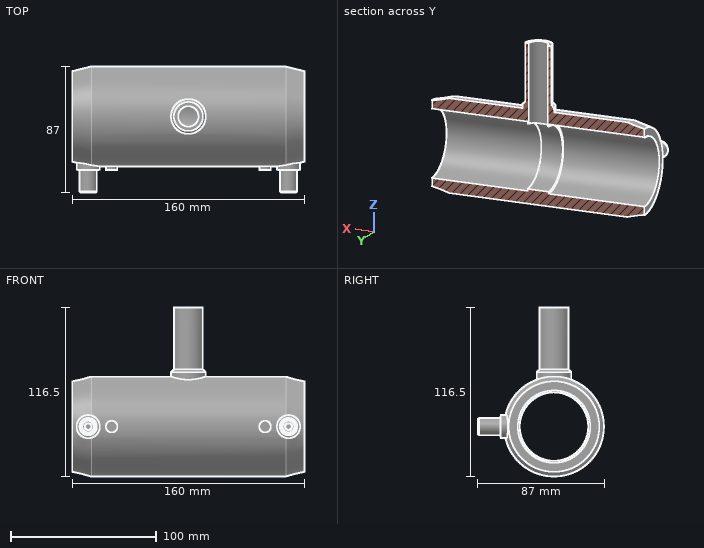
import cadquery as cq

sleeve_length = 160.0
sleeve_radius = 69.0 / 2
end_radius = 62.4 / 2
taper_length = 13.1
socket_radius = 50.0 / 2
stop_radius = 47.0 / 2
stop_length = 16.0

branch_top = 116.5 - sleeve_radius
branch_radius = 20.0 / 2
branch_bore_radius = 14.0 / 2
branch_collar_radius = 24.0 / 2
branch_collar_top = 39.5
branch_collar_chamfer = branch_collar_radius - branch_radius

terminal_offset = 69.0
terminal_tip = 87.0 - sleeve_radius
terminal_radius = 12.0 / 2
terminal_chamfer = 1.0
terminal_collar_radius = 16.0 / 2
terminal_collar_edge = 36.6
terminal_collar_top = 37.1
terminal_bore_radius = 8.0 / 2
terminal_bore_depth = 12.8
contact_radius = 5.0 / 2
contact_recess = 2.4
contact_chamfer = 0.3

indicator_offset = 52.8
indicator_radius = 8.0 / 2
indicator_top = 37.0

root_distance = (socket_radius + end_radius) / 2


def facing_front(x):
    """Workplane on the sleeve axis at x, with its normal along -Y."""
    return cq.Workplane("XZ", origin=(x, 0, 0))


def make_sleeve():
    """Tube with conical outer ends, before boring."""
    half_length = sleeve_length / 2
    taper_start = half_length - taper_length
    outline = [
        (-half_length, 0),
        (-half_length, end_radius),
        (-taper_start, sleeve_radius),
        (taper_start, sleeve_radius),
        (half_length, end_radius),
        (half_length, 0),
    ]
    return cq.Workplane("XY").polyline(outline).close().revolve(360, (0, 0, 0), (1, 0, 0))


def make_sleeve_bore():
    """Through bore with a wider socket from each end up to the stop."""
    bore = cq.Workplane("YZ").circle(stop_radius).extrude(sleeve_length / 2, both=True)
    socket_depth = (sleeve_length - stop_length) / 2
    for start in (-sleeve_length / 2, stop_length / 2):
        socket = cq.Workplane("YZ", origin=(start, 0, 0)).circle(socket_radius).extrude(socket_depth)
        bore = bore.union(socket)
    return bore


def make_branch():
    """Branch pipe with its chamfered collar, before boring."""
    pipe = cq.Workplane("XY").circle(branch_radius).extrude(branch_top)
    collar = (
        cq.Workplane("XY")
        .circle(branch_collar_radius)
        .extrude(branch_collar_top)
        .faces(">Z")
        .chamfer(branch_collar_chamfer)
    )
    return pipe.union(collar)


def make_terminal(x):
    """Hollow terminal on a shallow conical collar, with a recessed contact pin."""
    rim_radius = terminal_radius - terminal_chamfer
    bore_floor = terminal_tip - terminal_bore_depth
    contact_tip = terminal_tip - contact_recess
    half_section = [
        (0, root_distance),
        (terminal_collar_radius, root_distance),
        (terminal_collar_radius, terminal_collar_edge),
        (terminal_radius, terminal_collar_top),
        (terminal_radius, terminal_tip - terminal_chamfer),
        (rim_radius, terminal_tip),
        (terminal_bore_radius, terminal_tip),
        (terminal_bore_radius, bore_floor),
        (contact_radius, bore_floor),
        (contact_radius, contact_tip - contact_chamfer),
        (contact_radius - contact_chamfer, contact_tip),
        (0, contact_tip),
    ]
    points = [(radius, -distance) for radius, distance in half_section]
    terminal = cq.Workplane("XY").polyline(points).close().revolve(360, (0, 0, 0), (0, 1, 0))
    return terminal.translate((x, 0, 0))


def make_indicator(x):
    """Plain round button standing slightly proud of the sleeve."""
    button_length = indicator_top - root_distance
    return facing_front(x).workplane(offset=root_distance).circle(indicator_radius).extrude(button_length)


result = make_sleeve().union(make_branch()).cut(make_sleeve_bore())
branch_bore = cq.Workplane("XY").circle(branch_bore_radius).extrude(branch_top)
result = result.cut(branch_bore)

for side in (-1, 1):
    result = result.union(make_terminal(side * terminal_offset))
    result = result.union(make_indicator(side * indicator_offset))